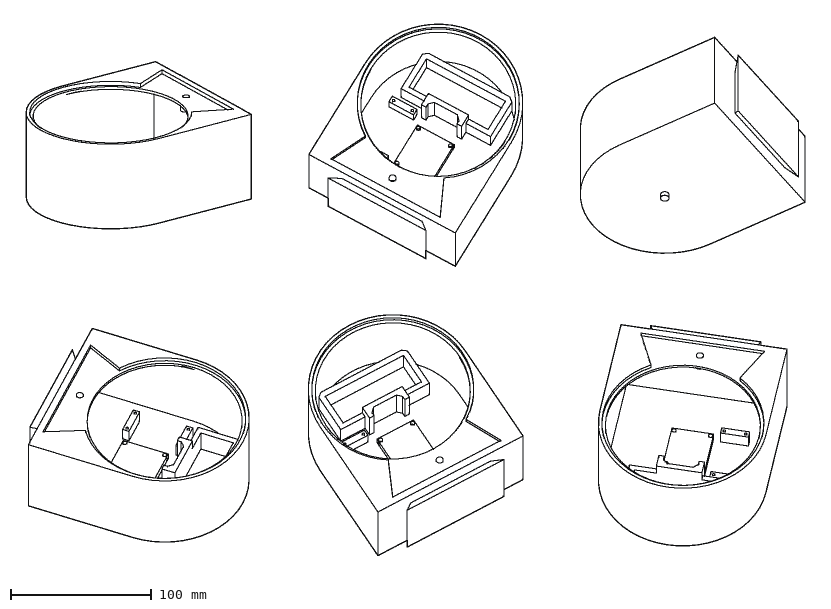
import cadquery as cq

body_radius = 60.0
body_back = 80.0
body_height = 65.0
wall = 5.0
floor_top = wall
cavity_radius = body_radius - wall

recess_radius = 57.5
recess_depth = 3.0
recess_back = 75.0
recess_back_half_width = 44.7
recess_neck_half_width = 32.0
recess_neck_y = 47.6
lip_thickness = 2.0
opening_diameter = 110.0
lid_hole_diameter = 5.0
lid_hole_y = 65.0
lid_boss_diameter = 8.0
lid_boss_length = 8.5

flare_depth = 7.0
flare_half_width = 40.0
flare_edge_inset = 5.0

pin_diameter = 6.0
pin_length = 3.5

pad_width = 30.1
pad_length = 34.4
pad_center_y = 20.6
pad_height = 5.0
pad_hole_diameter = 3.0
pad_hole_spacing_x = 26.5
pad_hole_spacing_y = 30.6

block_width = 20.1
block_length = 4.9
block_height = 10.0
block_center_x = 30.5
block_centers_y = (38.0, -2.6)
block_hole_diameter = 1.8
block_hole_spacing = 15.5

holder_half_width = 36.6
holder_back = -10.7
holder_front = -43.8
holder_height = 17.0
pocket_half_width = 32.3
pocket_back = -14.5
pocket_front = -39.4
fork_half_width = 16.5
fork_inner_half_width = 12.6
fork_tip_y = -4.5
fork_chamfer = 3.2
fork_height = 25.0


def box(x_min, x_max, y_min, y_max, z_min, height):
    """Box given by its plan limits, base level and height."""
    return cq.Workplane("XY").box(
        x_max - x_min, y_max - y_min, height, centered=False
    ).translate((x_min, y_min, z_min))


def cylinder(diameter, x, y, z_min, height):
    """Upright cylinder standing on z_min."""
    return cq.Workplane("XY", origin=(x, y, z_min)).circle(diameter / 2).extrude(height)


def round_front_prism(radius, back, z_min, height):
    """Prism with a flat back and sides and a half-round front."""
    return (
        cq.Workplane("XY", origin=(0, 0, z_min))
        .moveTo(-radius, 0)
        .lineTo(-radius, back)
        .lineTo(radius, back)
        .lineTo(radius, 0)
        .threePointArc((0, -radius), (-radius, 0))
        .close()
        .extrude(height)
    )


def make_shell():
    recess_floor = body_height - recess_depth
    ceiling = recess_floor - lip_thickness
    boss_bottom = ceiling - lid_boss_length
    shell = round_front_prism(body_radius, body_back, 0, body_height)
    cavity = round_front_prism(cavity_radius, body_back - wall, floor_top, ceiling - floor_top)
    dovetail = (
        cq.Workplane("XY", origin=(0, 0, recess_floor))
        .moveTo(-recess_back_half_width, recess_back)
        .lineTo(recess_back_half_width, recess_back)
        .lineTo(recess_neck_half_width, recess_neck_y)
        .lineTo(-recess_neck_half_width, recess_neck_y)
        .close()
        .extrude(recess_depth)
    )
    return (
        shell.cut(cavity)
        .cut(cylinder(opening_diameter, 0, 0, ceiling, lip_thickness))
        .cut(cylinder(2 * recess_radius, 0, 0, recess_floor, recess_depth))
        .cut(dovetail)
        .union(cylinder(lid_boss_diameter, 0, lid_hole_y, boss_bottom, lid_boss_length))
        .cut(cylinder(lid_hole_diameter, 0, lid_hole_y, boss_bottom, lid_boss_length + lip_thickness))
    )


def make_flare():
    """Plate whose four edges spread outward at 45 degrees."""
    outer_width = 2 * flare_half_width
    outer_height = body_height - 2 * flare_edge_inset
    return (
        cq.Workplane("XZ", origin=(0, body_back, body_height / 2))
        .rect(outer_width - 2 * flare_depth, outer_height - 2 * flare_depth)
        .workplane(offset=-flare_depth)
        .rect(outer_width, outer_height)
        .loft(ruled=True)
    )


def make_pad():
    base = cq.Workplane("XY", origin=(0, pad_center_y, floor_top))
    pad = base.rect(pad_width, pad_length).extrude(pad_height)
    holes = (
        base.rect(pad_hole_spacing_x, pad_hole_spacing_y, forConstruction=True)
        .vertices()
        .circle(pad_hole_diameter / 2)
        .extrude(pad_height)
    )
    return pad.cut(holes)


def make_block(center_y):
    block = (
        cq.Workplane("XY", origin=(block_center_x, center_y, floor_top))
        .rect(block_width, block_length)
        .extrude(block_height)
    )
    for side in (-1, 1):
        hole_x = block_center_x + side * block_hole_spacing / 2
        block = block.cut(cylinder(block_hole_diameter, hole_x, center_y, floor_top, block_height))
    return block


def make_holder():
    frame = box(-holder_half_width, holder_half_width, holder_front, holder_back, floor_top, holder_height)
    pocket = box(-pocket_half_width, pocket_half_width, pocket_front, pocket_back, floor_top, holder_height)
    fork = box(-fork_half_width, fork_half_width, pocket_back, fork_tip_y, floor_top, fork_height)
    notch = box(
        -fork_inner_half_width, fork_inner_half_width, holder_back, fork_tip_y, floor_top, fork_height
    ).edges("|Z and <Y").chamfer(fork_chamfer)
    return frame.cut(pocket).union(fork.cut(notch))


result = make_shell().union(make_flare())
result = result.union(cylinder(pin_diameter, 0, 0, -pin_length, pin_length))
result = result.union(make_pad())
for block_y in block_centers_y:
    result = result.union(make_block(block_y))
result = result.union(make_holder())